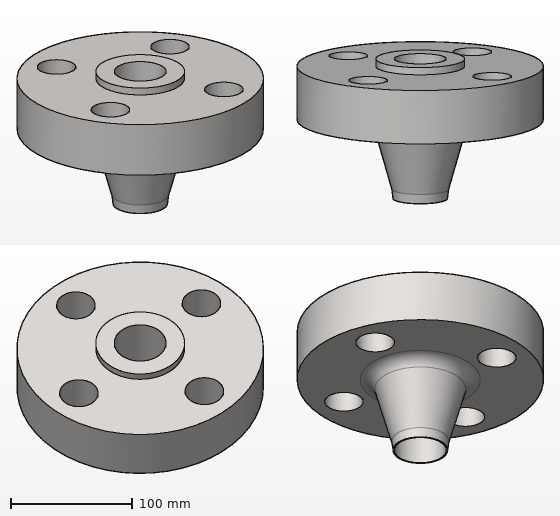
import cadquery as cq
import math

flange_radius = 101.5
flange_thickness = 45.0
raised_face_radius = 36.5
raised_face_height = 6.0

overall_height = 117.5
hub_top_radius = 37.5
hub_low_radius = 23.5
hub_end_radius = 22.5
hub_end_height = 8.1
hub_fillet_height = 9.0

bore_radius = 21.3
bolt_hole_diameter = 31.7
bolt_circle_radius = 73.2
bolt_count = 4

face_z = flange_thickness + raised_face_height
end_z = face_z - overall_height
low_z = end_z + hub_end_height

taper_angle = math.atan2(hub_top_radius - hub_low_radius, -hub_fillet_height - low_z)
fillet_radius = hub_fillet_height / (1 - math.sin(taper_angle))
fillet_center_r = hub_top_radius + fillet_radius * math.cos(taper_angle)
middle_angle = (math.pi / 2 + math.pi - taper_angle) / 2
fillet_middle = (
    fillet_center_r + fillet_radius * math.cos(middle_angle),
    -fillet_radius + fillet_radius * math.sin(middle_angle),
)
fillet_foot = (hub_top_radius, -hub_fillet_height)


def revolved_body():
    """Half section in (radius, height), revolved about Z with the bore left open."""
    section = (
        cq.Workplane("XZ")
        .moveTo(bore_radius, face_z)
        .lineTo(raised_face_radius, face_z)
        .lineTo(raised_face_radius, flange_thickness)
        .lineTo(flange_radius, flange_thickness)
        .lineTo(flange_radius, 0)
        .lineTo(fillet_center_r, 0)
        .threePointArc(fillet_middle, fillet_foot)
        .lineTo(hub_low_radius, low_z)
        .lineTo(hub_end_radius, end_z)
        .lineTo(bore_radius, end_z)
        .close()
    )
    return section.revolve(360, (0, 0, 0), (0, 1, 0))


def bolt_holes():
    """Cutters evenly spaced on the bolt circle, through the flange."""
    return (
        cq.Workplane("XY")
        .polarArray(bolt_circle_radius, 0, 360, bolt_count)
        .circle(bolt_hole_diameter / 2)
        .extrude(flange_thickness)
    )


result = revolved_body().cut(bolt_holes())